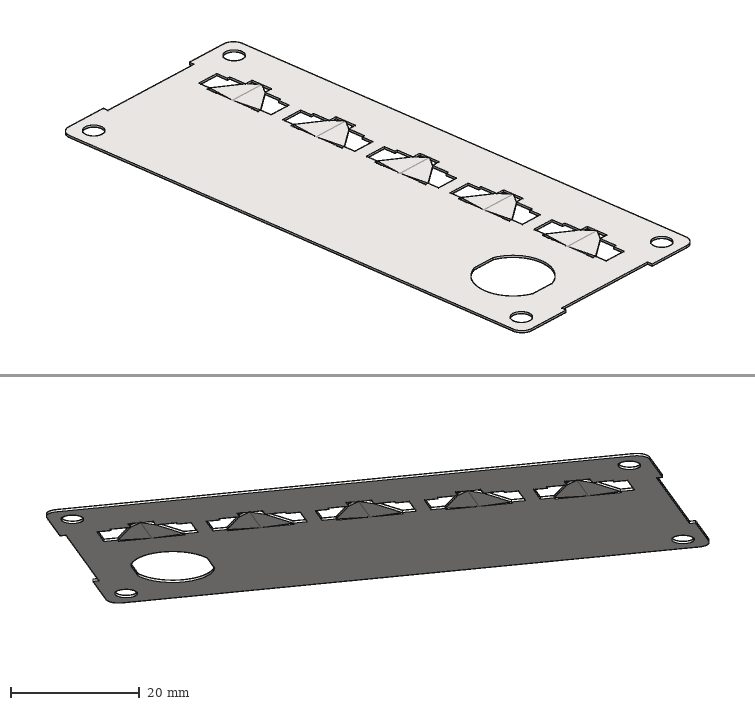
import cadquery as cq

length = 96.9
width = 40.0
thickness = 0.41
corner_radius = 2.0

recess_depth = 1.0
recess_length = 20.0

mount_diameter = 3.5
mount_x = 44.8
mount_y = 16.3

slot_count = 5
slot_pitch = 17.5
row_x = -0.2
slot_y = 8.0
slot_length = 15.1
slot_width = 4.2
step_length = 10.7
step_width = 5.2
notch_length = 4.1
notch_top = 12.2

panel_diameter = 13.1
panel_across_flats = 12.3
panel_y = -7.3

joint = 0.05

first_slot_x = row_x - (slot_count - 1) / 2 * slot_pitch
slot_xs = [first_slot_x + i * slot_pitch for i in range(slot_count)]
panel_x = slot_xs[-1]


def block(size_x, size_y, x, y):
    """Plate-thick rectangular block centred on (x, y)."""
    return cq.Workplane("XY").center(x, y).rect(size_x, size_y).extrude(thickness)


def blank():
    """Rounded plate with a recess in each short side."""
    plate = block(length, width, 0, 0).edges("|Z").fillet(corner_radius)
    for side in (-1, 1):
        plate = plate.cut(block(2 * recess_depth, recess_length, side * length / 2, 0))
    return plate


def mounting_holes():
    return (
        cq.Workplane("XY")
        .rect(2 * mount_x, 2 * mount_y, forConstruction=True)
        .vertices()
        .circle(mount_diameter / 2)
        .extrude(thickness)
    )


def panel_hole():
    """Round hole trimmed by flats on its left and right."""
    disc = cq.Workplane("XY").center(panel_x, panel_y).circle(panel_diameter / 2).extrude(thickness)
    return disc.intersect(block(panel_across_flats, panel_diameter, panel_x, panel_y))


def slot(x):
    """Long slot, widened in its middle, with a notch above."""
    notch_height = notch_top - slot_y
    return (
        block(slot_length, slot_width, x, slot_y)
        .union(block(step_length, step_width, x, slot_y))
        .union(block(notch_length, notch_height, x, slot_y + notch_height / 2))
    )


def half_tongue(x, side):
    """Half of the flat tongue: centre line, past the notch corner, out to the lower step corner."""
    step_top = slot_y + step_width / 2
    step_bottom = slot_y - step_width / 2
    return (
        cq.Workplane("XY")
        .polyline(
            [
                (x, step_bottom - joint),
                (x, notch_top + joint),
                (x + side * (notch_length / 2 + joint), step_top),
                (x + side * step_length / 2, slot_y - slot_width / 2),
            ]
        )
        .close()
        .extrude(thickness)
    )


result = blank().cut(mounting_holes()).cut(panel_hole())
for slot_x in slot_xs:
    result = result.cut(slot(slot_x))

for slot_x in slot_xs:
    for side in (-1, 1):
        result = result.union(half_tongue(slot_x, side), clean=False)